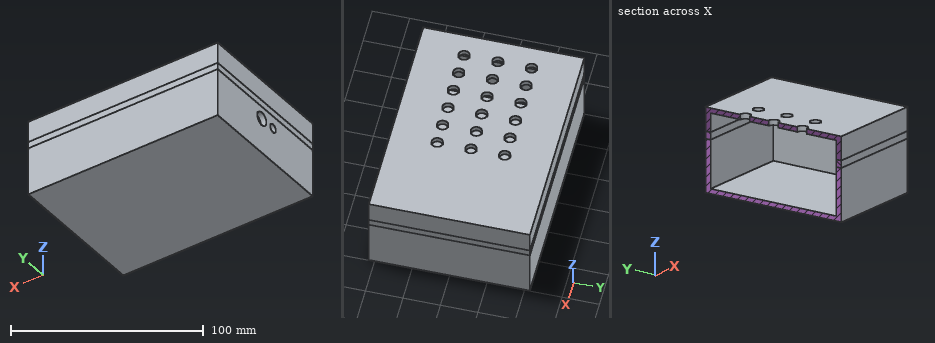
import cadquery as cq

length = 120.0
width = 86.0
height = 47.0

base_height = 29.8
frame_height = 4.1
lid_bottom = base_height + frame_height
lid_height = height - lid_bottom

wall = 3.5
floor = 3.0
roof = 3.0

socket_diameter = 6.0
socket_columns = 6
socket_rows = 3
socket_span_x = 59.0
socket_pitch_x = socket_span_x / (socket_columns - 1)
socket_pitch_y = 18.0
socket_center_x = -17.4
socket_center_y = 0.0

cable_holes = [(8.2, 3.1), (5.0, -7.0)]
cable_hole_z = 22.0


def block(size_x, size_y, size_z, bottom):
    """Box centred on the Z axis, standing on the given height."""
    return (
        cq.Workplane("XY")
        .workplane(offset=bottom)
        .rect(size_x, size_y)
        .extrude(size_z)
    )


def cavity(size_z, bottom):
    """Inner space left by the side walls."""
    return block(length - 2 * wall, width - 2 * wall, size_z, bottom)


def make_base():
    """Open-topped tray with two cable holes in its -X wall."""
    base = block(length, width, base_height, 0)
    base = base.cut(cavity(base_height - floor, floor))
    for diameter, hole_y in cable_holes:
        hole = (
            cq.Workplane("YZ", origin=(-length / 2, hole_y, cable_hole_z))
            .circle(diameter / 2)
            .extrude(wall)
        )
        base = base.cut(hole)
    return base


def make_frame():
    """Plain rectangular ring between the base and the lid."""
    frame = block(length, width, frame_height, base_height)
    return frame.cut(cavity(frame_height, base_height))


def make_lid():
    """Open-bottomed cover with a grid of socket holes through its roof."""
    lid = block(length, width, lid_height, lid_bottom)
    lid = lid.cut(cavity(lid_height - roof, lid_bottom))
    sockets = (
        cq.Workplane("XY", origin=(socket_center_x, socket_center_y, height - roof))
        .rarray(socket_pitch_x, socket_pitch_y, socket_columns, socket_rows)
        .circle(socket_diameter / 2)
        .extrude(roof)
    )
    return lid.cut(sockets)


base = make_base()
frame = make_frame()
lid = make_lid()

result = cq.Compound.makeCompound([base.val(), frame.val(), lid.val()])